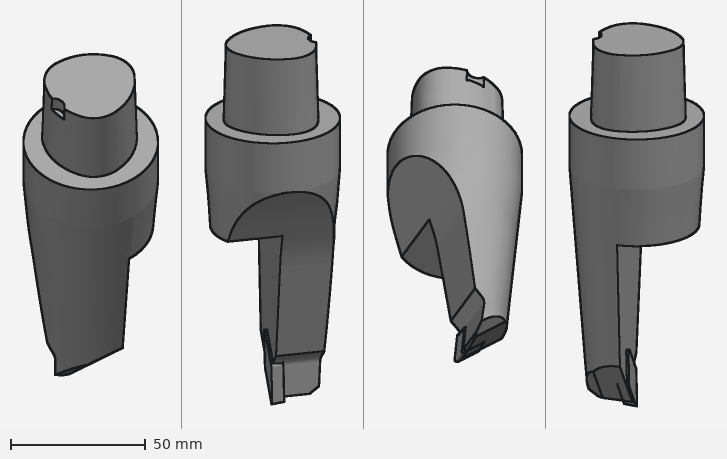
import cadquery as cq
import math


flange_radius = 25.0
flange_height = 20.0
neck_taper = 4.3
tool_length = 115.0
cutter_reach = 2 * flange_radius

shank_height = 30.0
shank_base_radius = 17.6
shank_top_radius = 16.8
lobe_centre_offset = 6.0
flank_centre_offset = 10.0
lobe_rise = 0.85

notch_radius = 4.35
notch_depth = 5.4
notch_back_y = -13.8

relief_arc_end = (-7.7, -57.0)
relief_line_angle = 8.5
step_start_z = -94.7
step_fillet = 3.5

flat_top_z = -43.0
flat_y = -0.7

insert_angle = 35.0
inscribed_diameter = 9.525
insert_thickness = 4.76
rake_face_y = 0.2
insert_clearance = 5.0
nose_radius = 0.8
edge_tilt = 4.5

nose_setback = 1.0
underside_relief = 3.5
chamfer_start_y = -12.5
chamfer_slope = 0.41
neck_end_z = -112.6


def tilted(angle):
    """Unit vector (x, z) leaning the given degrees from +Z toward +X."""
    return math.sin(math.radians(angle)), math.cos(math.radians(angle))


def stepped(point, direction, distance):
    """Point moved a distance along a direction in the XZ plane."""
    return point[0] + distance * direction[0], point[1] + distance * direction[1]


def polar(radius, degrees):
    return radius * math.cos(math.radians(degrees)), radius * math.sin(math.radians(degrees))


leading = tilted(edge_tilt)
trailing = tilted(edge_tilt + insert_angle)
bisector = tilted(edge_tilt + insert_angle / 2)

nose_centre = (nose_radius, nose_radius - tool_length)
sharp_tip = stepped(nose_centre, bisector, -nose_radius / math.sin(math.radians(insert_angle / 2)))


def shank_outline(mean_radius, z):
    """Closed wire of three lobe arcs tangent to three flank arcs."""
    lobe_radius = mean_radius + lobe_rise - lobe_centre_offset
    junction_x = flank_centre_offset * math.cos(math.radians(30))
    junction_y = lobe_centre_offset + flank_centre_offset / 2
    direction = math.atan2(junction_y, junction_x)
    end_x = lobe_radius * math.cos(direction)
    end_y = lobe_centre_offset + lobe_radius * math.sin(direction)
    end_radius = math.hypot(end_x, end_y)
    half_lobe = math.degrees(math.atan2(end_x, end_y))

    outline = cq.Workplane("XY", origin=(0, 0, z)).moveTo(*polar(end_radius, 90 - half_lobe))
    for lobe_angle in (90, 210, 330):
        outline = outline.threePointArc(
            polar(mean_radius + lobe_rise, lobe_angle), polar(end_radius, lobe_angle + half_lobe)
        )
        outline = outline.threePointArc(
            polar(mean_radius - lobe_rise, lobe_angle + 60),
            polar(end_radius, lobe_angle + 120 - half_lobe),
        )
    return outline.close().wire().val()


def make_shank():
    base = shank_outline(shank_base_radius, 0)
    top = shank_outline(shank_top_radius, shank_height)
    shank = cq.Workplane(obj=cq.Solid.makeLoft([base, top], True))
    notch = (
        cq.Workplane("XY", origin=(0, notch_back_y - notch_radius, shank_height))
        .circle(notch_radius)
        .extrude(-notch_depth)
    )
    return shank.cut(notch)


def make_flange_and_neck():
    end_radius = flange_radius - (tool_length - flange_height) * math.tan(math.radians(neck_taper))
    return (
        cq.Workplane("XZ")
        .polyline([
            (0, 0),
            (flange_radius, 0),
            (flange_radius, -flange_height),
            (end_radius, -tool_length),
            (0, -tool_length),
        ])
        .close()
        .revolve(360, (0, 0, 0), (0, 1, 0))
    )


def make_relief_cutter():
    """Prism through Y: concave arc, straight line, 45 degree step and insert-side face."""
    arc_start = (-flange_radius, -flange_height)
    run = relief_arc_end[0] - arc_start[0]
    drop = arc_start[1] - relief_arc_end[1]
    chord_angle = math.degrees(math.atan2(run, drop))
    half_sweep = chord_angle - relief_line_angle
    sagitta = math.hypot(run, drop) / 2 * math.tan(math.radians(half_sweep / 2))
    chord_middle = ((arc_start[0] + relief_arc_end[0]) / 2, (arc_start[1] + relief_arc_end[1]) / 2)
    arc_middle = stepped(chord_middle, tilted(90 - chord_angle), sagitta)

    line_slope = math.tan(math.radians(relief_line_angle))
    step_start = (relief_arc_end[0] + (relief_arc_end[1] - step_start_z) * line_slope, step_start_z)

    face_foot = stepped(sharp_tip, tilted(edge_tilt + 90), nose_setback)
    face_slope = math.tan(math.radians(edge_tilt))
    step_sum = step_start[0] + step_start[1]
    corner_z = (step_sum - face_foot[0] + face_slope * face_foot[1]) / (1 + face_slope)
    corner = (step_sum - corner_z, corner_z)

    turn = 45 + edge_tilt
    tangent_length = step_fillet * math.tan(math.radians(turn / 2))
    fillet_start = stepped(corner, tilted(-45), tangent_length)
    fillet_end = stepped(corner, leading, -tangent_length)
    to_centre = tilted(45 + 180)
    fillet_centre = stepped(fillet_start, to_centre, step_fillet)
    fillet_middle = stepped(fillet_centre, tilted(45 + turn / 2), step_fillet)

    return (
        cq.Workplane("XZ")
        .moveTo(*arc_start)
        .threePointArc(arc_middle, relief_arc_end)
        .lineTo(*step_start)
        .lineTo(*fillet_start)
        .threePointArc(fillet_middle, fillet_end)
        .lineTo(*face_foot)
        .lineTo(-cutter_reach, face_foot[1])
        .lineTo(-cutter_reach, -flange_height)
        .close()
        .extrude(cutter_reach, both=True)
    )


def make_flat_cutter():
    return cq.Workplane("XY", origin=(0, flat_y, flat_top_z)).box(
        2 * cutter_reach, cutter_reach, tool_length, centered=(True, False, False)
    ).translate((0, 0, -tool_length))


def make_underside_cutter():
    """Prism along the trailing edge: relieved underside with a steeper chamfer near the outer wall."""
    relief_rise = -chamfer_start_y * math.tan(math.radians(underside_relief))
    outer_y = -flange_radius
    outer_rise = relief_rise + (chamfer_start_y - outer_y) * chamfer_slope
    section_plane = cq.Plane(
        origin=(sharp_tip[0], 0, sharp_tip[1]), xDir=(0, -1, 0), normal=(trailing[0], 0, trailing[1])
    )
    return (
        cq.Workplane(section_plane)
        .polyline([
            (0, 0),
            (-chamfer_start_y, -relief_rise),
            (-outer_y, -outer_rise),
            (-outer_y, flange_radius),
            (0, flange_radius),
        ])
        .close()
        .extrude(cutter_reach, both=True)
    )


def make_end_cutter():
    return cq.Workplane("XY", origin=(0, 0, neck_end_z)).box(
        cutter_reach, cutter_reach, flange_radius, centered=(True, True, False)
    ).translate((0, 0, -flange_radius))


def make_insert():
    """Rhombic plate with rounded corners whose flanks taper inward away from the rake face."""
    side = inscribed_diameter / math.sin(math.radians(insert_angle))
    left_corner = stepped(sharp_tip, leading, side)
    right_corner = stepped(sharp_tip, trailing, side)
    far_tip = stepped(left_corner, trailing, side)
    rhombus = cq.Sketch().polygon(
        [sharp_tip, right_corner, far_tip, left_corner, sharp_tip]
    ).vertices().fillet(nose_radius)
    return (
        cq.Workplane("XZ", origin=(0, rake_face_y, 0))
        .placeSketch(rhombus)
        .extrude(insert_thickness, taper=insert_clearance)
    )


insert = make_insert()

holder = make_flange_and_neck()
for cutter in (make_relief_cutter(), make_flat_cutter(), make_underside_cutter(), make_end_cutter()):
    holder = holder.cut(cutter)
holder = holder.cut(insert).union(make_shank())

result = cq.Compound.makeCompound([holder.val(), insert.val()])